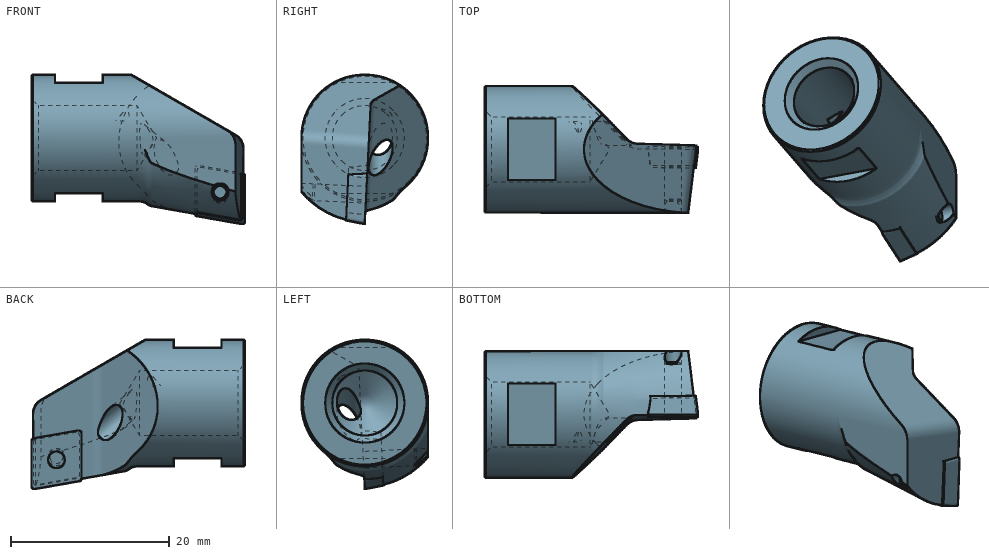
import cadquery as cq
import math

shank_diameter = 16.0
shank_radius = shank_diameter / 2
rear_chamfer = 0.22
length = 27.0
height = 18.87

flat_start = 3.0
flat_length = 6.0
flat_height = 7.0

bore_radius = 4.1
bore_mouth_radius = 5.0
bore_mouth_depth = 0.9
bore_depth = 13.35
drill_point_half_angle = 59.0

slope_start = 12.58
slope_angle = 30.0
end_face_x = 26.73
end_face_angle = 7.0
end_edge_radius = 2.0

jaw_root = 12.15
jaw_start = 13.6
neck_end = (14.82, 8.42)
flare_start = (15.2, 8.6)
flare_angle = 10.0

tip_z = shank_radius - height
rake_angle = 2.8

relief_corner_x = 18.52
relief_corner_radius = 1.9
relief_angle = 45.0

insert_side = 6.45
insert_thickness = 2.38
insert_nose_angle = 80.0
insert_corner_radius = 0.4
insert_clearance = 7.0

screw_radius = 1.05
screw_length = 6.75
screw_chamfer = 0.25

coolant_radius = 1.5
coolant_start = (10.94, 2.0, 2.48)
coolant_angle = 39.5

reach = 2 * length


def tilt(shape):
    """Lean a shape from the upright frame into the rake frame."""
    return shape.rotate((0, 0, tip_z), (1, 0, tip_z), -rake_angle)


def make_shank():
    shank = cq.Workplane("YZ").circle(shank_radius).extrude(length)
    return shank.faces("<X").chamfer(rear_chamfer)


def make_jaw():
    """Cone along X below the axis, no wider than the shank."""
    end_radius = flare_start[1] + (length - flare_start[0]) * math.tan(math.radians(flare_angle))
    cone = (
        cq.Workplane("XY")
        .moveTo(jaw_root, 0)
        .lineTo(jaw_root, shank_radius)
        .lineTo(jaw_start, shank_radius)
        .tangentArcPoint(neck_end, relative=False)
        .tangentArcPoint(flare_start, relative=False)
        .lineTo(length, end_radius)
        .lineTo(length, 0)
        .close()
        .revolve(360, (0, 0, 0), (1, 0, 0))
    )
    lower_half = cq.Workplane("XY").box(length, shank_diameter, reach, centered=(False, True, False))
    lower_half = lower_half.translate((0, 0, -reach))
    return cone.intersect(lower_half)


def make_flat_cutter(side):
    """Slot for the flat above (side = 1) or below (side = -1) the axis."""
    cutter = cq.Workplane("XY").box(flat_length, reach, reach, centered=(False, True, True))
    return cutter.translate((flat_start, 0, side * (flat_height + reach / 2)))


def make_bore():
    point_depth = bore_radius / math.tan(math.radians(drill_point_half_angle))
    return (
        cq.Workplane("XY")
        .polyline([
            (0, 0),
            (0, bore_mouth_radius),
            (bore_mouth_depth, bore_radius),
            (bore_depth, bore_radius),
            (bore_depth + point_depth, 0),
        ])
        .close()
        .revolve(360, (0, 0, 0), (1, 0, 0))
    )


def make_coolant_hole():
    angle = math.radians(coolant_angle)
    along = cq.Vector(math.cos(angle), 0, -math.sin(angle))
    hole = cq.Solid.makeCylinder(coolant_radius, reach, cq.Vector(*coolant_start), along)
    return cq.Workplane(obj=hole)


def make_nose_envelope():
    """Space under the sloping top and behind the end face, their shared edge rounded."""
    drop = math.tan(math.radians(slope_angle))
    lean = math.tan(math.radians(end_face_angle))

    slope = (
        cq.Workplane("XZ")
        .polyline([
            (-reach, -reach),
            (-reach, shank_radius + drop * (slope_start + reach)),
            (reach, shank_radius + drop * (slope_start - reach)),
            (reach, -reach),
        ])
        .close()
        .extrude(reach / 2, both=True)
    )
    behind_end = (
        cq.Workplane("XY")
        .polyline([
            (-reach, -length),
            (end_face_x - lean * length, -length),
            (end_face_x + lean * length, length),
            (-reach, length),
        ])
        .close()
        .extrude(2 * reach, both=True)
    )
    corner_z = shank_radius - drop * (end_face_x - slope_start)
    corner = cq.selectors.NearestToPointSelector((end_face_x, 0, corner_z))
    return slope.intersect(behind_end).edges(corner).fillet(end_edge_radius)


def make_relief_cutter():
    """Prism on the +Y side of the rake face, with a 45-degree rear wall."""
    rise = reach
    run = rise / math.tan(math.radians(relief_angle))
    prism = (
        cq.Workplane("XY")
        .polyline([
            (relief_corner_x, 0),
            (reach, 0),
            (reach, rise),
            (relief_corner_x - run, rise),
        ])
        .close()
        .extrude(reach, both=True)
    )
    corner = cq.selectors.NearestToPointSelector((relief_corner_x, 0, 0))
    return tilt(prism.edges(corner).fillet(relief_corner_radius))


def insert_tip():
    """X and Z of the sharp nose corner, before rounding."""
    half_nose = math.radians(insert_nose_angle / 2)
    nose_center_z = tip_z + insert_corner_radius
    return length, nose_center_z - insert_corner_radius / math.tan(half_nose)


def insert_center():
    """X and Z of the middle of the rhombus, half its long diagonal from the tip."""
    half_nose = math.radians(insert_nose_angle / 2)
    half_diagonal = insert_side * math.cos(half_nose)
    x, z = insert_tip()
    return x - half_diagonal * math.sin(half_nose), z + half_diagonal * math.cos(half_nose)


def make_insert_blank():
    """Insert without its hole; it tapers away from the cutting face."""
    nose = math.radians(insert_nose_angle)
    x, z = insert_tip()
    side_x = -insert_side * math.sin(nose)
    side_z = insert_side * math.cos(nose)
    blank = (
        cq.Workplane("XZ")
        .polyline([
            (x, z),
            (x, z + insert_side),
            (x + side_x, z + side_z + insert_side),
            (x + side_x, z + side_z),
        ])
        .close()
        .extrude(insert_thickness, taper=insert_clearance)
        .edges("not(<Y or >Y)")
        .fillet(insert_corner_radius)
    )
    return tilt(blank)


def make_screw_hole():
    x, z = insert_center()
    return tilt(cq.Workplane("XZ").center(x, z).circle(screw_radius).extrude(reach))


def make_screw():
    """Plain shank, flush with the cutting face, its inner end chamfered."""
    x, z = insert_center()
    screw = cq.Workplane("XZ").center(x, z).circle(screw_radius).extrude(screw_length)
    return tilt(screw.faces("<Y").chamfer(screw_chamfer))


def make_holder():
    holder = make_shank().union(make_jaw()).intersect(make_nose_envelope())
    for side in (1, -1):
        holder = holder.cut(make_flat_cutter(side))
    return (
        holder.cut(make_relief_cutter())
        .cut(make_bore())
        .cut(make_coolant_hole())
        .cut(make_insert_blank())
        .cut(make_screw_hole())
    )


holder = make_holder()
insert = make_insert_blank().cut(make_screw_hole())
screw = make_screw()

result = cq.Compound.makeCompound([holder.val(), insert.val(), screw.val()])